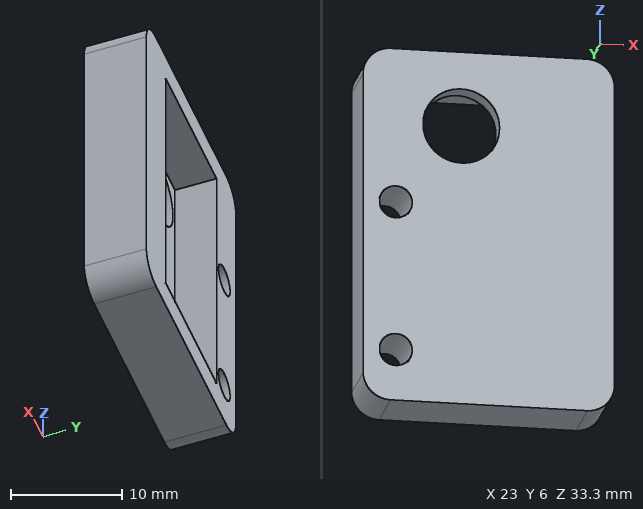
import cadquery as cq

width = 23.0
thickness = 6
height = 33.3
corner_radius = 2.5

front_wall = 2
pocket_side_margin = 5
pocket_end_margin = 3

large_hole_diameter = 7
large_hole_from_left = 9
large_hole_from_top = 7
small_hole_diameter = 3
small_hole_from_left = 3
lower_hole_from_bottom = 4.8
small_hole_spacing = 14


def through_hole(diameter, from_left, from_bottom):
    """Cylinder along Y that spans the full plate thickness."""
    x = from_left - width / 2
    z = from_bottom - height / 2
    return (
        cq.Workplane("XZ")
        .center(x, z)
        .circle(diameter / 2)
        .extrude(thickness / 2, both=True)
    )


def back_pocket():
    """Block that hollows the back and leaves the front wall."""
    return cq.Workplane("XY").box(
        width - 2 * pocket_side_margin,
        thickness - front_wall,
        height - 2 * pocket_end_margin,
    ).translate((0, front_wall / 2, 0))


result = cq.Workplane("XY").box(width, thickness, height).edges("|Y").fillet(corner_radius)
result = result.cut(back_pocket())

result = result.cut(
    through_hole(large_hole_diameter, large_hole_from_left, height - large_hole_from_top)
)

for row in range(2):
    from_bottom = lower_hole_from_bottom + row * small_hole_spacing
    result = result.cut(through_hole(small_hole_diameter, small_hole_from_left, from_bottom))